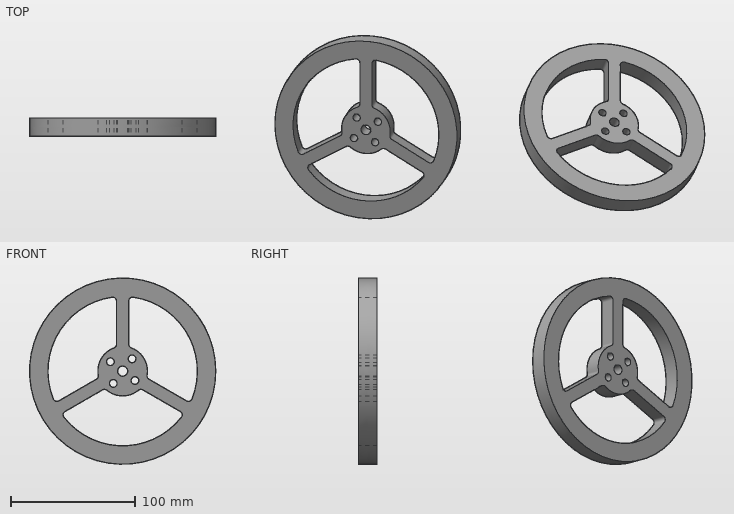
import cadquery as cq

wheel_diameter = 150.0
wheel_width = 15.0
rim_thickness = 15.0
rim_inner_diameter = wheel_diameter - 2 * rim_thickness
hub_diameter = 40.0

spoke_count = 3
spoke_width = 10.0
spoke_corner_radius = 3.0

bore_diameter = 8.0
bolt_hole_diameter = 6.0
bolt_hole_count = 4
bolt_circle_radius = 12.5
first_bolt_angle = 52.5


def disc(diameter):
    """Disc of the full wheel width, centred on the origin with its axis along Y."""
    return cq.Workplane("XZ").circle(diameter / 2).extrude(wheel_width / 2, both=True)


def spoke(angle):
    """Straight bar from the wheel axis to the middle of the rim."""
    length = (wheel_diameter - rim_thickness) / 2
    bar = cq.Workplane("XY").box(spoke_width, wheel_width, length, centered=(True, True, False))
    return bar.rotate((0, 0, 0), (0, 1, 0), angle)


windows = disc(rim_inner_diameter).cut(disc(hub_diameter))
for index in range(spoke_count):
    windows = windows.cut(spoke(index * 360 / spoke_count))
windows = windows.edges("|Y").edges("not %CIRCLE").fillet(spoke_corner_radius)

wheel = disc(wheel_diameter).cut(windows)

bore = disc(bore_diameter)
bolt_holes = (
    cq.Workplane("XZ")
    .polarArray(bolt_circle_radius, first_bolt_angle, 360, bolt_hole_count)
    .circle(bolt_hole_diameter / 2)
    .extrude(wheel_width / 2, both=True)
)

result = wheel.cut(bore).cut(bolt_holes)